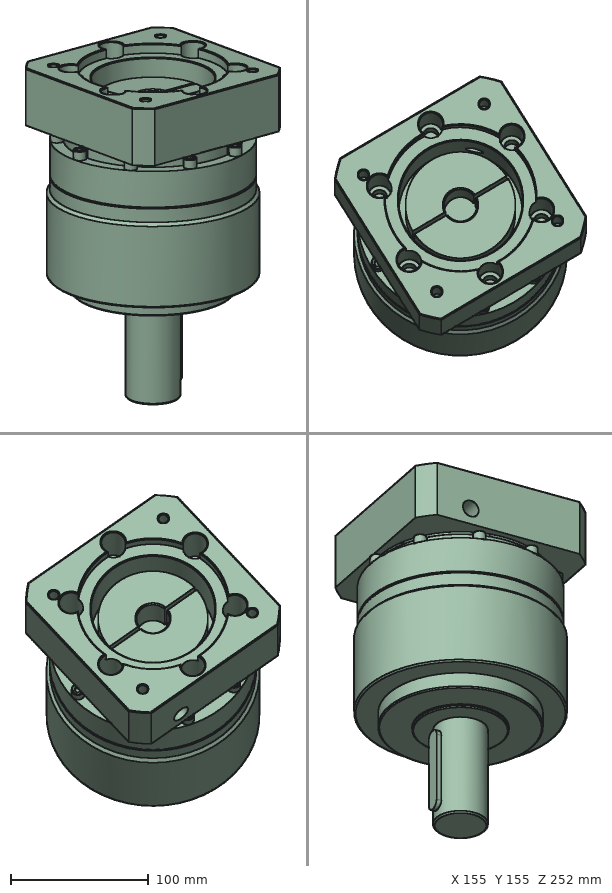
import cadquery as cq
import math

total_height = 252.0
adapter_height = 43.8
adapter_bottom = total_height - adapter_height
collar_bottom = 206.1
flange_top = 197.8
groove_height = 169.5
drum_top = 158.8
drum_bottom = 93.7
pilot_bottom = 81.6
seal_bottom = 79.5

drum_diameter = 155.0
flange_diameter = 150.2
collar_diameter = 131.5
neck_diameter = 131.0
pilot_diameter = 120.0
seal_diameter = 70.5
shaft_diameter = 40.0

drum_top_chamfer = (drum_diameter - flange_diameter) / 2
drum_bottom_chamfer = 1.3
pilot_chamfer = 1.0
seal_chamfer = 1.0
shaft_chamfer = 1.3
groove_width = 1.0
groove_depth = 0.8

screw_count = 10
screw_circle_radius = 70.0
screw_head_diameter = 9.5
screw_head_height = 7.0
screw_head_chamfer = 0.5
screw_clearance_diameter = 11.5
screw_socket_flats = 5.0
screw_socket_depth = 3.5

hub_diameter = 80.0
hub_top = 231.3
hub_height = hub_top - adapter_bottom
hub_bore_diameter = 24.0
hub_bore_chamfer = 1.0
hub_slot_width = 2.5

access_y = 31.2
access_z = 221.0
access_diameter = 13.0
access_inner_diameter = 9.3
access_step_depth = 20.2
clamp_seat_x = -17.6

adapter_width = 142.0
corner_radius = 92.5
adapter_edge_chamfer = 0.8
recess_diameter = 109.5
recess_depth = 7.3
adapter_bore_diameter = 90.0
rim_chamfer = 0.8

mount_hole_spacing = 102.5
mount_hole_diameter = 7.0
mount_hole_chamfer = 0.8
mount_hole_depth = 20.0
drill_point_angle = 118.0

bolt_count = 6
bolt_circle_radius = 59.5
bolt_start_angle = 50.0
bolt_hole_diameter = 11.0
counterbore_diameter = 17.5
counterbore_depth = 32.8

key_width = 11.5
key_height = 8.0
key_bottom = 7.3
key_length = 65.8
keyway_floor = 15.0


def cylinder(diameter, bottom, top):
    return cq.Workplane("XY").workplane(offset=bottom).circle(diameter / 2).extrude(top - bottom)


def cone_frustum(bottom_radius, top_radius, bottom, top):
    """Cone about Z, cut off flat at both ends unless a radius is zero."""
    cone = cq.Solid.makeCone(bottom_radius, top_radius, top - bottom, cq.Vector(0, 0, bottom))
    return cq.Workplane(cone)


def countersink(hole_diameter, chamfer, top):
    """Cutter for a 45 degree edge break around a hole whose rim lies at the height top."""
    radius = hole_diameter / 2
    return cone_frustum(radius, radius + chamfer, top - chamfer, top)


def x_cylinder(diameter, start_x, end_x):
    """Cylinder parallel to X on the axis of the clamp screw."""
    plane = cq.Workplane("YZ", origin=(start_x, access_y, access_z))
    return plane.circle(diameter / 2).extrude(end_x - start_x)


def make_key():
    middle = key_bottom + key_length / 2
    plane = cq.Workplane("XZ", origin=(0, keyway_floor, middle))
    return plane.slot2D(key_length, key_width, 90).extrude(-key_height)


def make_housing():
    shaft = cylinder(shaft_diameter, 0, seal_bottom).faces("<Z").chamfer(shaft_chamfer)
    seal = cylinder(seal_diameter, seal_bottom, pilot_bottom).faces("<Z").chamfer(seal_chamfer)
    pilot = cylinder(pilot_diameter, pilot_bottom, drum_bottom).faces("<Z").chamfer(pilot_chamfer)
    drum = cylinder(drum_diameter, drum_bottom, drum_top)
    drum = drum.faces("<Z").chamfer(drum_bottom_chamfer).faces(">Z").chamfer(drum_top_chamfer)
    flange = cylinder(flange_diameter, drum_top, flange_top)
    neck = cylinder(neck_diameter, flange_top, collar_bottom)
    collar = cylinder(collar_diameter, collar_bottom, adapter_bottom)
    housing = shaft
    for section in (seal, pilot, drum, flange, neck, collar):
        housing = housing.union(section)
    return housing.cut(make_joint_groove())


def make_joint_groove():
    bottom = groove_height - groove_width / 2
    top = groove_height + groove_width / 2
    outside = cylinder(drum_diameter, bottom, top)
    return outside.cut(cylinder(flange_diameter - 2 * groove_depth, bottom, top))


def make_screw_head():
    head_top = flange_top + screw_head_height
    head = cylinder(screw_head_diameter, flange_top, head_top).faces(">Z").chamfer(screw_head_chamfer)
    across_corners = screw_socket_flats / math.cos(math.radians(30))
    socket = cq.Workplane("XY").workplane(offset=head_top).polygon(6, across_corners)
    return head.cut(socket.extrude(-screw_socket_depth))


def add_screw_heads(housing):
    """Ring of screw heads, each standing in a shallow clearance scallop in the neck."""
    place = (0, -screw_circle_radius, 0)
    head = make_screw_head().translate(place)
    clearance = cylinder(screw_clearance_diameter, flange_top, collar_bottom).translate(place)
    for index in range(screw_count):
        angle = index * 360 / screw_count
        housing = housing.cut(clearance.rotate((0, 0, 0), (0, 0, 1), angle))
        housing = housing.union(head.rotate((0, 0, 0), (0, 0, 1), angle))
    return housing


def make_hub():
    hub = cylinder(hub_diameter, adapter_bottom, hub_top)
    slot = cq.Workplane("XY").workplane(offset=adapter_bottom).rect(hub_slot_width, hub_diameter)
    hub = hub.cut(slot.extrude(hub_height))
    hub = hub.cut(cylinder(hub_bore_diameter, adapter_bottom, hub_top))
    hub = hub.cut(countersink(hub_bore_diameter, hub_bore_chamfer, hub_top))
    return hub.cut(x_cylinder(access_inner_diameter, -hub_diameter, clamp_seat_x))


def make_gearbox(key):
    housing = add_screw_heads(make_housing())
    return housing.union(make_hub()).cut(key)


def make_adapter_blank():
    plate = cq.Workplane("XY").workplane(offset=adapter_bottom).rect(adapter_width, adapter_width)
    plate = plate.extrude(adapter_height)
    plate = plate.intersect(cylinder(2 * corner_radius, adapter_bottom, total_height))
    return plate.faces(">Z").chamfer(adapter_edge_chamfer)


def cut_bore(plate):
    recess_floor = total_height - recess_depth
    plate = plate.cut(cylinder(recess_diameter, recess_floor, total_height))
    plate = plate.cut(countersink(recess_diameter, rim_chamfer, total_height))
    plate = plate.cut(cylinder(adapter_bore_diameter, adapter_bottom, recess_floor))
    return plate.cut(countersink(adapter_bore_diameter, rim_chamfer, recess_floor))


def cut_mount_holes(plate):
    """Four blind drilled holes, one near each corner."""
    floor = total_height - mount_hole_depth
    radius = mount_hole_diameter / 2
    point_depth = radius / math.tan(math.radians(drill_point_angle / 2))
    hole = cylinder(mount_hole_diameter, floor, total_height)
    hole = hole.union(cone_frustum(0, radius, floor - point_depth, floor))
    hole = hole.union(countersink(mount_hole_diameter, mount_hole_chamfer, total_height))
    for side_x in (-1, 1):
        for side_y in (-1, 1):
            place = (side_x * mount_hole_spacing / 2, side_y * mount_hole_spacing / 2, 0)
            plate = plate.cut(hole.translate(place))
    return plate


def cut_bolt_holes(plate):
    """Ring of counterbored through holes that break into the recess."""
    hole = cylinder(bolt_hole_diameter, adapter_bottom, total_height)
    hole = hole.union(cylinder(counterbore_diameter, total_height - counterbore_depth, total_height))
    hole = hole.union(countersink(counterbore_diameter, rim_chamfer, total_height))
    hole = hole.translate((bolt_circle_radius, 0, 0))
    for index in range(bolt_count):
        angle = bolt_start_angle + index * 360 / bolt_count
        plate = plate.cut(hole.rotate((0, 0, 0), (0, 0, 1), angle))
    return plate


def cut_access_hole(plate):
    """Stepped hole from the -X side to the clamp screw seat."""
    face_x = -adapter_width / 2
    plate = plate.cut(x_cylinder(access_diameter, face_x, face_x + access_step_depth))
    return plate.cut(x_cylinder(access_inner_diameter, face_x, clamp_seat_x))


def make_adapter():
    plate = cut_bore(make_adapter_blank())
    plate = cut_mount_holes(plate)
    plate = cut_bolt_holes(plate)
    return cut_access_hole(plate)


shaft_key = make_key()
gearbox = make_gearbox(shaft_key)
adapter = make_adapter()

result = cq.Compound.makeCompound([gearbox.val(), adapter.val(), shaft_key.val()])